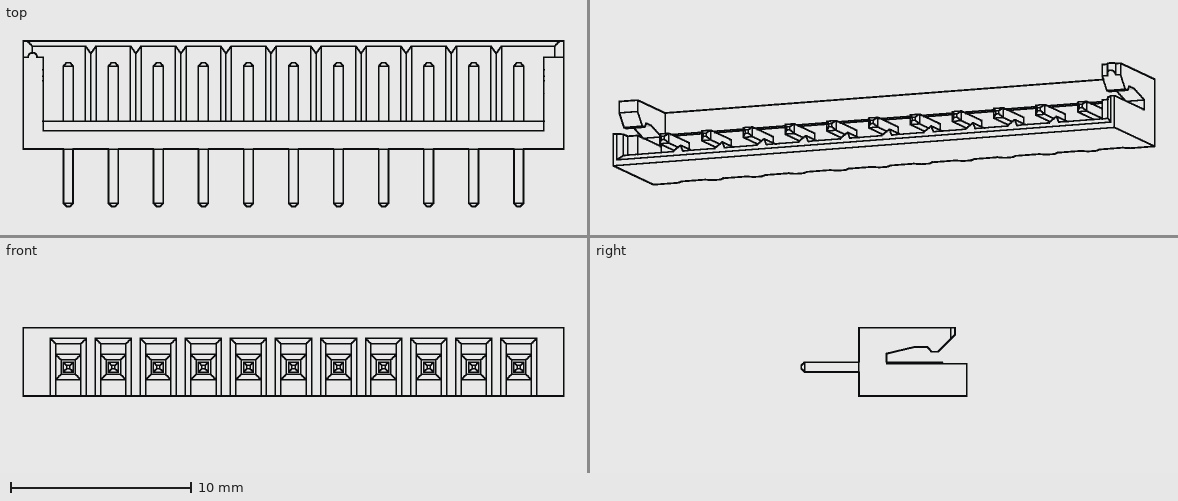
import cadquery as cq

LENGTH = 30.0
DEPTH = 6.0
HEIGHT = 3.8

PIN_COUNT = 11
PITCH = 2.5
PIN_SIZE = 0.55
PIN_TIP_SIZE = 0.18
PIN_TIP_LENGTH = 0.2
PIN_FRONT_Y = -3.2
PIN_BACK_Y = 4.8
PIN_Z = 1.61

FLOOR_Z = 0.6
WALL = 0.5
ARM_WIDTH = 1.1
ARM_END_Y = 5.1
CAVITY_FRONT_Y = 1.55
UPPER_FRONT_Y = 1.03
LEDGE_RISE = 0.2
FLARE = 0.28

RIDGE_HALF_WIDTH = 0.3
RIDGE_HEIGHT = 0.42

SLOT_FLOOR_Z = 1.8
SLOT_END_Z = 2.35
SLOT_ROOF_Z = 2.72
SLOT_ROOF_FRONT_Y = 3.1
SLOT_ROOF_BACK_Y = 3.8
HOOK_Z = 2.45
HOOK_FRONT_Y = 4.05
HOOK_BACK_Y = 4.4
HOOK_TIP_Z = 3.15

KEY_RADIUS = 0.25
KEY_INSET = 0.52

POCKET_WIDTH = 2.0
POCKET_TOP_Z = 3.2
POCKET_DEPTH = 0.3
POCKET_TAPER = POCKET_DEPTH

COLLAR_BASE = POCKET_WIDTH - 2 * POCKET_TAPER
COLLAR_HEIGHT = POCKET_DEPTH
COLLAR_TOP = COLLAR_BASE - 2 * COLLAR_HEIGHT

PIN_XS = [(i - (PIN_COUNT - 1) / 2) * PITCH for i in range(PIN_COUNT)]
RIDGE_XS = [x + PITCH / 2 for x in PIN_XS[:-1]]


def box(x0, x1, y0, y1, z0, z1):
    """Axis-aligned box between two corners."""
    return cq.Workplane("XY").box(x1 - x0, y1 - y0, z1 - z0, centered=False).translate((x0, y0, z0))


def prism_along_x(points, x0, x1):
    """Y-Z outline extruded from x0 to x1."""
    return cq.Workplane("YZ").polyline(points).close().extrude(x1 - x0).translate((x0, 0, 0))


def rectangle_wire(x, y, half_width, bottom, top):
    """Upright rectangle at depth y, centred on x."""
    corners = [(-half_width, bottom), (half_width, bottom), (half_width, top), (-half_width, top)]
    return cq.Wire.makePolygon([cq.Vector(x + dx, y, z) for dx, z in corners], close=True)


def square_taper(x, y, size, end_size, length):
    """Square frustum on the pin axis, running from y by a signed length along Y."""
    direction = 1 if length > 0 else -1
    plane = cq.Plane(origin=(x, y, PIN_Z), xDir=(1, 0, 0), normal=(0, direction, 0))
    return (
        cq.Workplane(plane)
        .rect(size, size)
        .workplane(offset=abs(length))
        .rect(end_size, end_size)
        .loft(ruled=True)
    )


def make_cavity():
    """Space between the end walls, widened beyond the arms and stepped forward above a sloped ledge."""
    half_mouth = LENGTH / 2 - WALL
    half_inner = LENGTH / 2 - ARM_WIDTH
    mouth = box(-half_mouth, half_mouth, ARM_END_Y, DEPTH, FLOOR_Z, HEIGHT)
    inner = box(-half_inner, half_inner, CAVITY_FRONT_Y, DEPTH, FLOOR_Z, HEIGHT)
    step = prism_along_x(
        [
            (UPPER_FRONT_Y, HEIGHT),
            (UPPER_FRONT_Y, SLOT_END_Z + LEDGE_RISE),
            (CAVITY_FRONT_Y, SLOT_END_Z),
            (CAVITY_FRONT_Y, HEIGHT),
        ],
        -half_inner,
        half_inner,
    )
    return inner.union(mouth).union(step)


def make_ridges():
    """Triangular ridges running along the cavity floor."""
    profile = [(-RIDGE_HALF_WIDTH, FLOOR_Z), (0, FLOOR_Z + RIDGE_HEIGHT), (RIDGE_HALF_WIDTH, FLOOR_Z)]
    run = DEPTH - CAVITY_FRONT_Y
    ridges = cq.Workplane("XY")
    for x in RIDGE_XS:
        ridge = cq.Workplane("XZ").polyline(profile).close().extrude(-run)
        ridges = ridges.union(ridge.translate((x, CAVITY_FRONT_Y, 0)))
    return ridges


def make_mouth_flare():
    """Lead-in at 45 degrees on the end walls, the cavity floor and the ends of the ridges."""
    reach = FLARE + RIDGE_HEIGHT
    outer_half = LENGTH / 2 - WALL + FLARE
    outer_floor = FLOOR_Z - FLARE
    inner = rectangle_wire(0, DEPTH - reach, outer_half - reach, outer_floor + reach, HEIGHT)
    outer = rectangle_wire(0, DEPTH, outer_half, outer_floor, HEIGHT)
    return cq.Workplane(obj=cq.Solid.makeLoft([inner, outer], True))


def make_slot():
    """Opening through both end walls that shapes the hooked arms."""
    outline = [
        (CAVITY_FRONT_Y, SLOT_FLOOR_Z),
        (CAVITY_FRONT_Y, SLOT_END_Z),
        (SLOT_ROOF_FRONT_Y, SLOT_ROOF_Z),
        (SLOT_ROOF_BACK_Y, SLOT_ROOF_Z),
        (HOOK_FRONT_Y, HOOK_Z),
        (HOOK_BACK_Y, HOOK_Z),
        (ARM_END_Y, HOOK_TIP_Z),
        (ARM_END_Y, HEIGHT),
        (DEPTH, HEIGHT),
        (DEPTH, SLOT_FLOOR_Z),
    ]
    return prism_along_x(outline, -LENGTH / 2, LENGTH / 2)


def make_key():
    """Round key on the end of the -X arm, its underside continuing the slope of the hook."""
    x = -LENGTH / 2 + KEY_INSET
    key = cq.Workplane("XY").center(x, ARM_END_Y).circle(KEY_RADIUS).extrude(HEIGHT)
    slope = (HOOK_TIP_Z - HOOK_Z) / (ARM_END_Y - HOOK_BACK_Y)
    back_y = ARM_END_Y + KEY_RADIUS
    back_z = HOOK_TIP_Z + slope * KEY_RADIUS
    limit = prism_along_x(
        [(HOOK_BACK_Y, HOOK_Z), (back_y, back_z), (back_y, HEIGHT), (HOOK_BACK_Y, HEIGHT)],
        -LENGTH / 2,
        0,
    )
    return key.intersect(limit)


def make_pocket(x):
    """Recess in the front face, open at the bottom, with tapered sides and top."""
    half = POCKET_WIDTH / 2
    outer = rectangle_wire(x, 0, half, 0, POCKET_TOP_Z)
    inner = rectangle_wire(x, POCKET_DEPTH, half - POCKET_TAPER, 0, POCKET_TOP_Z - POCKET_TAPER)
    return cq.Workplane(obj=cq.Solid.makeLoft([outer, inner], True))


def make_contact(x):
    """Square pin with tapered tips and the collar it leaves the housing through."""
    half = PIN_SIZE / 2
    front = PIN_FRONT_Y + PIN_TIP_LENGTH
    back = PIN_BACK_Y - PIN_TIP_LENGTH
    shaft = box(x - half, x + half, front, back, PIN_Z - half, PIN_Z + half)
    front_tip = square_taper(x, front, PIN_SIZE, PIN_TIP_SIZE, -PIN_TIP_LENGTH)
    back_tip = square_taper(x, back, PIN_SIZE, PIN_TIP_SIZE, PIN_TIP_LENGTH)
    collar = square_taper(x, POCKET_DEPTH, COLLAR_BASE, COLLAR_TOP, -COLLAR_HEIGHT)
    return shaft.union(front_tip).union(back_tip).union(collar)


housing = box(-LENGTH / 2, LENGTH / 2, 0, DEPTH, 0, HEIGHT)
housing = housing.cut(make_cavity()).union(make_ridges())
housing = housing.cut(make_mouth_flare()).cut(make_slot())
housing = housing.union(make_key())

for pin_x in PIN_XS:
    housing = housing.cut(make_pocket(pin_x))
for pin_x in PIN_XS:
    housing = housing.union(make_contact(pin_x))

result = housing